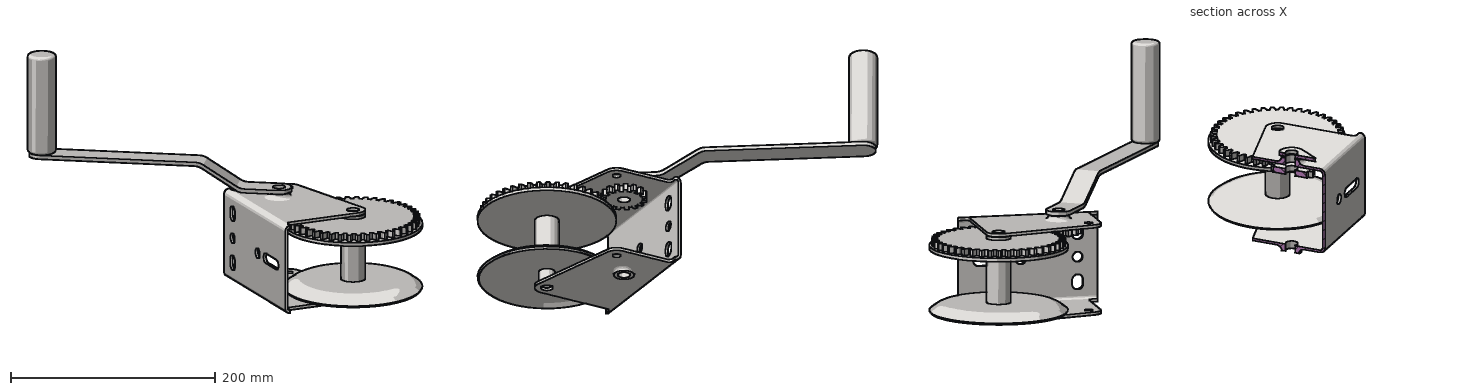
import cadquery as cq
import math


sheet = 3.0
frame_height = 90.0
bend_radius = 6.0
base_left = -118.0
base_length = 140.0
base_outer_y = -84.0
plate_corner_radius = 12.0
plate_relief_radius = 4.0
base_corner_radius = 2.0
axle_bore = 12.0
tie_hole_centre = (-96.0, -24.0)
tie_hole_diameter = 8.0
crank_axis = (-71.0, -46.5)
boss_diameter = 20.0
boss_height = 5.0

mount_hole_diameter = 10.0
end_hole_offset = 20.0
middle_hole_offset = 77.0
long_slot_offset = 107.5
long_slot_length = 34.0
short_slot_length = 15.0
short_slot_width = 11.0
short_slot_spacing = 50.0

drum_diameter = 24.0
drum_end_diameter = 16.0
drum_end_play = 0.5
flange_diameter = 136.0
disc_bottom = 73.0
disc_thickness = 3.5
dish_top = 19.6
dish_sheet = 2.5
dish_flat_radius = 51.0
dish_bend_radius = 20.0
dish_slope = math.radians(37)

gear_teeth = 44
gear_tip_diameter = 131.0
gear_root_diameter = 119.4
gear_width = 6.5
gear_gap = 0.5
pinion_teeth = 15
pinion_tip_diameter = 45.0
pinion_root_diameter = 35.95
pressure_angle = math.radians(20)
backlash = 0.3

arm_thickness = 4.0
arm_width = 25.0
arm_bottom = 96.0
arm_rise = 25.0
arm_length = 234.86
arm_first_bend = 36.5
arm_second_bend = 76.7
arm_bend_radius = 15.0
arm_turn = math.radians(180 + 55.855)

grip_diameter = 28.0
grip_length = 100.0
grip_fillet = 3.0

plate_right = plate_corner_radius
plate_left = tie_hole_centre[0] - plate_corner_radius
base_right = base_left + base_length
fold_y = base_outer_y + bend_radius
mid_height = frame_height / 2
disc_top = disc_bottom + disc_thickness
arm_direction = (math.cos(arm_turn), math.sin(arm_turn))
grip_axis = tuple(c + arm_length * d for c, d in zip(crank_axis, arm_direction))
arm_top_end = arm_bottom + arm_rise + arm_thickness
centre_distance = math.hypot(*crank_axis)
module = 2 * centre_distance / (gear_teeth + pinion_teeth)


def cylinder(diameter, bottom, top, centre=(0, 0)):
    """Upright cylinder between two heights."""
    return cq.Workplane("XY", origin=(*centre, bottom)).circle(diameter / 2).extrude(top - bottom)


def plate_outline():
    """Side plate and base seen along Z: two rounded corners joined by a common tangent."""
    r = plate_corner_radius
    far_x, far_y = tie_hole_centre
    slope = math.atan2(-far_y, -far_x)
    normal = (-math.sin(slope) * r, math.cos(slope) * r)
    half_right = (math.pi / 2 + slope) / 2
    half_left = (math.pi / 2 + slope + math.pi) / 2
    relief = plate_relief_radius
    corner = base_corner_radius
    return (
        cq.Workplane("XY")
        .moveTo(base_left, base_outer_y)
        .lineTo(base_right, base_outer_y)
        .lineTo(base_right, fold_y - corner)
        .radiusArc((base_right - corner, fold_y), -corner)
        .lineTo(plate_right + relief, fold_y)
        .radiusArc((plate_right, fold_y + relief), relief)
        .lineTo(plate_right, 0)
        .threePointArc((r * math.cos(half_right), r * math.sin(half_right)), normal)
        .lineTo(far_x + normal[0], far_y + normal[1])
        .threePointArc(
            (far_x + r * math.cos(half_left), far_y + r * math.sin(half_left)), (plate_left, far_y)
        )
        .lineTo(plate_left, fold_y + relief)
        .radiusArc((plate_left - relief, fold_y), relief)
        .lineTo(base_left + corner, fold_y)
        .radiusArc((base_left, fold_y - corner), -corner)
        .close()
        .extrude(frame_height)
    )


def channel():
    """Bent sheet running along X, open toward +Y."""
    depth = plate_corner_radius - base_outer_y
    centre = ((base_left + base_right) / 2, base_outer_y + depth / 2, mid_height)
    outer = (
        cq.Workplane("XY")
        .box(base_length, depth, frame_height)
        .translate(centre)
        .edges("|X and <Y")
        .fillet(bend_radius)
    )
    inner = (
        cq.Workplane("XY")
        .box(base_length, depth, frame_height - 2 * sheet)
        .translate(centre)
        .translate((0, sheet, 0))
        .edges("|X and <Y")
        .fillet(bend_radius - sheet)
    )
    return outer.cut(inner)


def crank_boss():
    """Flared collar that stands on the upper plate around the crank axis."""
    boss_radius = boss_diameter / 2
    flare_radius = boss_radius + boss_height
    profile = (
        cq.Workplane("XZ")
        .lineTo(flare_radius, 0)
        .radiusArc((boss_radius, boss_height), boss_height)
        .lineTo(0, boss_height)
        .close()
    )
    boss = profile.revolve(360, (0, 0, 0), (0, 1, 0))
    return boss.translate((*crank_axis, frame_height))


def base_cutters():
    """Round holes and slots through the base, cut along Y."""
    plane = cq.Workplane("XZ", origin=(base_left, base_outer_y - sheet, mid_height))
    depth = -3 * sheet
    holes = (
        plane.pushPoints([(end_hole_offset, 0), (middle_hole_offset, 0)])
        .circle(mount_hole_diameter / 2)
        .extrude(depth)
    )
    half_spacing = short_slot_spacing / 2
    short_slots = (
        plane.pushPoints([(end_hole_offset, half_spacing), (end_hole_offset, -half_spacing)])
        .slot2D(short_slot_length, short_slot_width, 90)
        .extrude(depth)
    )
    long_slot = (
        plane.center(long_slot_offset, 0).slot2D(long_slot_length, mount_hole_diameter).extrude(depth)
    )
    return holes.union(short_slots).union(long_slot)


def make_frame():
    boss = crank_boss()
    frame = channel().intersect(plate_outline())
    frame = frame.union(boss).union(boss.mirror("XY", (0, 0, mid_height)))
    bottom = -boss_height
    top = frame_height + boss_height
    frame = frame.cut(cylinder(axle_bore, bottom, top))
    frame = frame.cut(cylinder(axle_bore, bottom, top, crank_axis))
    frame = frame.cut(cylinder(tie_hole_diameter, bottom, top, tie_hole_centre))
    return frame.cut(base_cutters())


def dished_flange():
    """Sheet disc whose rim bends down, with the edge cut square to the sheet."""
    rim_radius = flange_diameter / 2
    t = dish_sheet
    r = dish_bend_radius
    bend_x, bend_z = dish_flat_radius, dish_top - r

    def on_arc(radius, a):
        return (bend_x + radius * math.sin(a), bend_z + radius * math.cos(a))

    arc_end = on_arc(r, dish_slope)
    rim_top = (rim_radius, arc_end[1] - (rim_radius - arc_end[0]) * math.tan(dish_slope))
    rim_bottom = (rim_top[0] - t * math.sin(dish_slope), rim_top[1] - t * math.cos(dish_slope))
    return (
        cq.Workplane("XZ")
        .moveTo(0, dish_top)
        .lineTo(bend_x, dish_top)
        .threePointArc(on_arc(r, dish_slope / 2), arc_end)
        .lineTo(*rim_top)
        .lineTo(*rim_bottom)
        .lineTo(*on_arc(r - t, dish_slope))
        .threePointArc(on_arc(r - t, dish_slope / 2), on_arc(r - t, 0))
        .lineTo(0, dish_top - t)
        .close()
        .revolve(360, (0, 0, 0), (0, 1, 0))
    )


def make_drum():
    """Bored tube with a flat disc near the top and a dished flange near the bottom."""
    bottom = sheet + drum_end_play
    top = frame_height - bottom
    tube = cylinder(drum_diameter, dish_top - dish_sheet, top)
    end = cylinder(drum_end_diameter, bottom, dish_top)
    drum = tube.union(end).union(dished_flange())
    drum = drum.union(cylinder(flange_diameter, disc_bottom, disc_top))
    return drum.cut(cylinder(axle_bore, bottom, top))


def toothed_wheel(teeth, tip_diameter, root_diameter, bore, first_tooth):
    """Involute spur gear with one tooth centred on the angle first_tooth (radians)."""
    pitch_radius = module * teeth / 2
    base_radius = pitch_radius * math.cos(pressure_angle)
    tip_radius = tip_diameter / 2
    root_radius = root_diameter / 2
    start_radius = max(base_radius, root_radius)

    def involute(angle):
        return math.tan(angle) - angle

    def half_angle(radius):
        at_pitch = (math.pi * module / 2 - backlash) / (2 * pitch_radius)
        return at_pitch + involute(pressure_angle) - involute(math.acos(base_radius / radius))

    def polar(radius, angle):
        return (radius * math.cos(angle), radius * math.sin(angle))

    middle_radius = (start_radius + tip_radius) / 2
    flank = [start_radius, middle_radius, tip_radius]
    pitch_angle = 2 * math.pi / teeth
    root_half = half_angle(start_radius)
    wire = cq.Workplane("XY").moveTo(*polar(root_radius, first_tooth - root_half))
    for tooth in range(teeth):
        centre = first_tooth + tooth * pitch_angle
        rising = [polar(r, centre - half_angle(r)) for r in flank]
        falling = [polar(r, centre + half_angle(r)) for r in reversed(flank)]
        if start_radius > root_radius:
            wire = wire.lineTo(*rising[0])
        wire = wire.threePointArc(*rising[1:])
        wire = wire.threePointArc(polar(tip_radius, centre), falling[0])
        wire = wire.threePointArc(*falling[1:])
        if start_radius > root_radius:
            wire = wire.lineTo(*polar(root_radius, centre + root_half))
        next_root = polar(root_radius, centre + pitch_angle - root_half)
        wire = wire.threePointArc(polar(root_radius, centre + pitch_angle / 2), next_root)
    wheel = wire.close().extrude(gear_width)
    return wheel.cut(cylinder(bore, 0, gear_width)).translate((0, 0, disc_top + gear_gap))


def make_gear():
    half_pitch = math.pi / gear_teeth
    return toothed_wheel(gear_teeth, gear_tip_diameter, gear_root_diameter, drum_diameter, half_pitch)


def make_pinion():
    """The tooth that faces the drum axis sits in the nearest gap of the large gear."""
    toward_pinion = math.atan2(crank_axis[1], crank_axis[0])
    gear_pitch = 2 * math.pi / gear_teeth
    nearest_gap = round(toward_pinion / gear_pitch) * gear_pitch
    mesh_turn = (toward_pinion - nearest_gap) * gear_teeth / pinion_teeth
    first_tooth = toward_pinion + math.pi + mesh_turn
    pinion = toothed_wheel(
        pinion_teeth, pinion_tip_diameter, pinion_root_diameter, axle_bore, first_tooth
    )
    return pinion.translate((*crank_axis, 0))


def make_arm():
    """Flat bar stepped up by two bends, modelled along +X and then turned into place."""
    half_width = arm_width / 2
    slope = math.atan2(arm_rise, arm_second_bend - arm_first_bend)
    bend_shift = arm_thickness * math.tan(slope / 2)
    top = arm_bottom + arm_thickness
    start = -half_width
    finish = arm_length + half_width
    bar = (
        cq.Workplane("XZ", origin=(0, half_width, 0))
        .moveTo(start, arm_bottom)
        .lineTo(arm_first_bend + bend_shift, arm_bottom)
        .lineTo(arm_second_bend + bend_shift, arm_bottom + arm_rise)
        .lineTo(finish, arm_bottom + arm_rise)
        .lineTo(finish, arm_top_end)
        .lineTo(arm_second_bend, arm_top_end)
        .lineTo(arm_first_bend, top)
        .lineTo(start, top)
        .close()
        .extrude(arm_width)
    )
    reach = 2 * arm_thickness
    for bend_x, face_z in ((arm_first_bend, top), (arm_second_bend, arm_top_end)):
        zone = cq.selectors.BoxSelector(
            (bend_x - reach, -arm_width, face_z - reach), (bend_x + reach, arm_width, face_z + reach)
        )
        bar = bar.edges("|Y").edges(zone).fillet(arm_bend_radius)
    outline = (
        cq.Workplane("XY", origin=(arm_length / 2, 0, arm_bottom))
        .slot2D(arm_length + arm_width, arm_width)
        .extrude(arm_rise + arm_thickness)
    )
    arm = bar.intersect(outline).cut(cylinder(axle_bore, arm_bottom, top))
    return arm.rotate((0, 0, 0), (0, 0, 1), math.degrees(arm_turn)).translate((*crank_axis, 0))


def make_grip():
    grip = cylinder(grip_diameter, arm_top_end, arm_top_end + grip_length, grip_axis)
    return grip.faces("<Z or >Z").edges().fillet(grip_fillet)


frame = make_frame()
drum = make_drum()
gear = make_gear()
pinion = make_pinion()
arm = make_arm()
grip = make_grip()

result = cq.Compound.makeCompound(
    [frame.val(), drum.val(), gear.val(), pinion.val(), arm.val(), grip.val()]
)